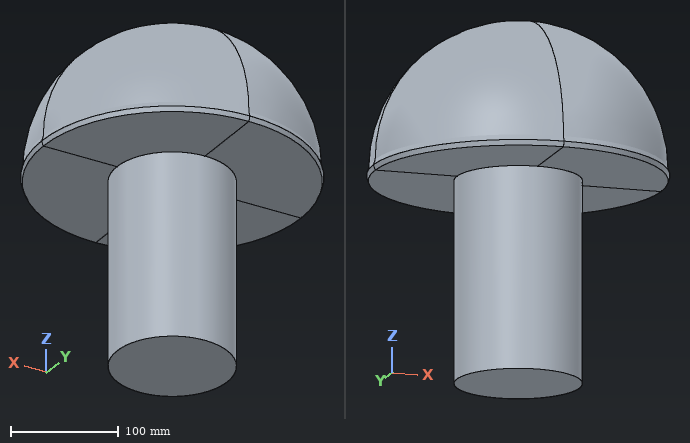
import cadquery as cq

total_height = 345.0
dome_radius = 140.0
rim_radius = 141.8
rim_height = 10.0
stem_diameter = 120.0
quarter_count = 4

dome_base = total_height - dome_radius
rim_bottom = dome_base - rim_height
rim_middle = dome_base - rim_height / 2
quarter_angle = 360 / quarter_count


def make_dome_quarter(start_angle):
    """One solid quarter of the dome and its double-bevelled rim."""
    arc_height = dome_base + dome_radius * 0.5 ** 0.5
    arc_reach = dome_radius * 0.5 ** 0.5
    profile = (
        cq.Workplane("XZ")
        .moveTo(0, rim_bottom)
        .lineTo(dome_radius, rim_bottom)
        .lineTo(rim_radius, rim_middle)
        .lineTo(dome_radius, dome_base)
        .threePointArc((arc_reach, arc_height), (0, total_height))
        .close()
    )
    quarter = profile.revolve(quarter_angle, (0, 0, 0), (0, 1, 0))
    return quarter.rotate((0, 0, 0), (0, 0, 1), start_angle)


def make_stem():
    """Round stem standing under the centre of the dome."""
    return cq.Workplane("XY").circle(stem_diameter / 2).extrude(rim_bottom)


dome_quarters = [make_dome_quarter(i * quarter_angle) for i in range(quarter_count)]
stem = make_stem()

result = cq.Compound.makeCompound([stem.val(), *[quarter.val() for quarter in dome_quarters]])